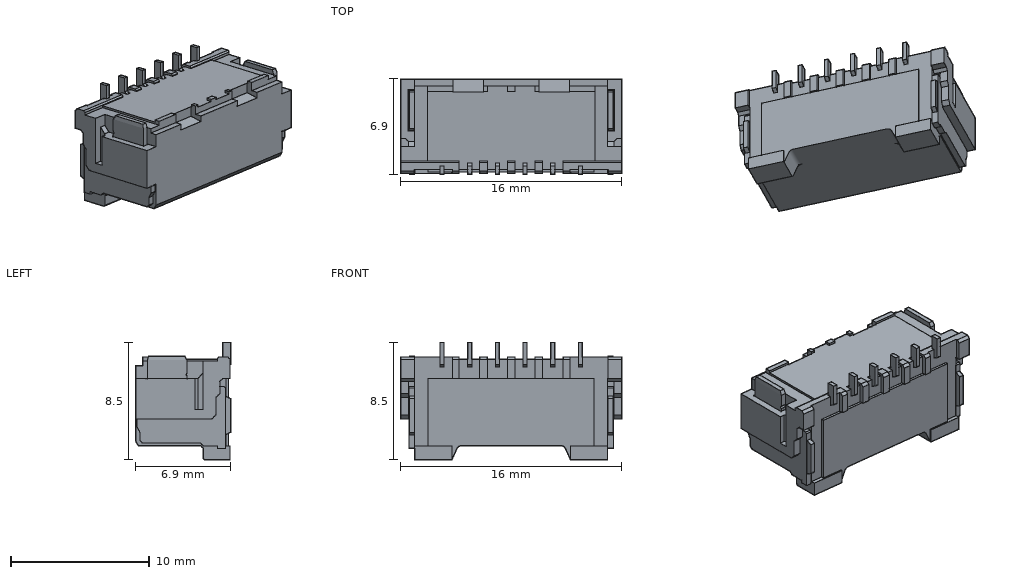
import cadquery as cq
import math


length, depth, height = 16.0, 6.9, 8.5
pitch = 2.0
half_length = length / 2
half_body = 6.98

floor_z = 1.02
flange_bottom, flange_top = 2.96, 5.89
ledge_z = 6.82
wall_top, panel_top, rib_top = 7.15, 7.3, 7.45

rib_front, plate_front, body_front = 0.05, 0.16, 0.35
rib_back = 0.98
foot_back = 2.0
rear_rib_front = 5.98
ledge_front = 6.38

heel_size = 0.2
heel_back = foot_back + heel_size


def box(x0, x1, y0, y1, z0, z1):
    """Block between opposite corners."""
    return cq.Workplane("XY").box(x1 - x0, y1 - y0, z1 - z0, centered=False).translate((x0, y0, z0))


def bar(outline, x0, x1):
    """Prism along X with a (Y, Z) outline."""
    return cq.Workplane("YZ").polyline(outline).close().extrude(x1 - x0).translate((x0, 0, 0))


def both_sides(solid):
    """The solid together with its mirror image across X = 0."""
    return solid.union(solid.mirror("YZ"))


back_chamfer_y, back_chamfer_z = 0.2, 0.34
panel_half = 6.05


def body():
    shell = bar(
        [
            (body_front, floor_z),
            (depth - back_chamfer_y, floor_z),
            (depth, floor_z + back_chamfer_z),
            (depth, ledge_z),
            (ledge_front, ledge_z),
            (ledge_front, wall_top),
            (body_front, wall_top),
        ],
        -half_body,
        half_body,
    )
    panel = box(-panel_half, panel_half, body_front, ledge_front, wall_top, panel_top)
    return shell.union(panel)


plate_half = 6.0


def front_plate():
    return box(-plate_half, plate_half, plate_front, body_front, floor_z, flange_top)


rib_width = 0.56
rib_centers = [-pitch, 0, pitch]
rib_chamfer = 0.2
rib_back_chamfer = 0.11
rib_outline = [
    (rib_front, flange_top),
    (rib_back, flange_top),
    (rib_back, rib_top - rib_back_chamfer),
    (rib_back - rib_back_chamfer, rib_top),
    (rib_front + rib_chamfer, rib_top),
    (rib_front, rib_top - rib_chamfer),
]
corner_inner = 3.76
recess_inner, recess_outer = 4.25, 7.0


def front_ribs():
    ribs = bar(rib_outline, corner_inner, half_length)
    recess = box(recess_inner, recess_outer, 0, body_front, flange_top, height)
    ribs = both_sides(ribs.cut(recess))
    for x in rib_centers:
        ribs = ribs.union(bar(rib_outline, x - rib_width / 2, x + rib_width / 2))
    return ribs


flange_inner = 7.44
hollow_top = 5.68
plate_back, plate_top = 1.44, 5.31
step_front, step_middle, step_back = 0.8, 1.09, 1.38
upper_step_top, upper_step_bottom, lower_step_top = 4.8, 4.51, 3.26
flange_outline = [
    (rib_front, flange_top),
    (step_front - (flange_top - hollow_top), flange_top),
    (step_front, hollow_top),
    (step_front, upper_step_top),
    (step_middle, upper_step_bottom),
    (step_middle, lower_step_top),
    (step_back, flange_bottom),
    (depth, flange_bottom),
    (depth, flange_top),
    (foot_back, flange_top),
    (foot_back, wall_top),
    (rib_front, wall_top),
]
slot_floor = 3.66
slot_back, slot_chamfer = 2.38, 0.2
web_rise = 0.42


def side_flange():
    flange = bar(flange_outline, half_body, half_length)
    flange = flange.cut(box(half_body, recess_outer, 0, body_front, flange_top, height))
    slot = (
        cq.Workplane("XY")
        .polyline(
            [
                (flange_inner, foot_back),
                (half_length, foot_back),
                (half_length, slot_back + slot_chamfer),
                (flange_inner + slot_chamfer, slot_back + slot_chamfer),
                (flange_inner, slot_back),
            ]
        )
        .close()
        .extrude(height)
        .translate((0, 0, slot_floor))
    )
    web = bar(
        [(foot_back, flange_top), (slot_back, flange_top), (foot_back, flange_top + web_rise)],
        half_body,
        flange_inner,
    )
    hollow = box(half_body, flange_inner, 0, plate_back, flange_bottom, hollow_top)
    return flange.union(web).cut(slot).cut(hollow).cut(key_well())


side_plate_outer = 7.4
plate_front_face, plate_corner = 0.4, 0.1
tail_bottom = 0.83
heel_top = floor_z + heel_size
plate_lower_back, plate_upper_back = 6.58, 6.78
back_step_bottom, back_step_top = 2.0, 2.38
side_plate_outline = [
    (plate_front_face, tail_bottom),
    (rib_back, tail_bottom),
    (rib_back, floor_z),
    (foot_back, floor_z),
    (heel_back, heel_top),
    (plate_lower_back - heel_size, heel_top),
    (plate_lower_back, heel_top + heel_size),
    (plate_lower_back, back_step_bottom),
    (plate_upper_back, back_step_top),
    (plate_upper_back, flange_bottom),
    (plate_back, flange_bottom),
    (plate_back, plate_top),
    (plate_front_face + plate_corner, plate_top),
    (plate_front_face, plate_top - plate_corner),
]


def side_plate():
    return bar(side_plate_outline, half_body, side_plate_outer)


pad_inner, pad_outer = 7.0, 7.36
pad_bottom, pad_top = 1.8, 4.62
pad_taper = 0.2
pad_outline = [
    (0, pad_bottom + pad_taper),
    (plate_front_face, pad_bottom),
    (plate_front_face, pad_top),
    (0, pad_top - pad_taper),
]


def front_pad():
    return bar(pad_outline, pad_inner, pad_outer)


key_inner, key_outer = 7.0, 7.4
key_front, key_back = 3.17, 6.05
key_shoulder, key_top = 7.2, 7.5
key_front_taper, key_back_taper, key_side_taper = 0.16, 0.1, 0.05
key_groove_radius, key_groove_depth, key_groove_z = 0.11, 0.06, 6.18
well_depth = 0.16
well_front, well_back, well_outer = 3.14, 6.13, 7.47
well_floor = flange_top - well_depth


def key_well():
    return box(half_body, well_outer, well_front, well_back, well_floor, flange_top)


def side_key():
    key = bar(
        [
            (key_front, well_floor),
            (key_back, well_floor),
            (key_back, key_shoulder),
            (key_back - key_back_taper, key_top),
            (key_front + key_front_taper, key_top),
            (key_front, key_shoulder),
        ],
        key_inner,
        key_outer,
    )
    bevel = (
        cq.Workplane("XZ")
        .polyline([(key_outer, key_shoulder), (key_outer, key_top), (key_outer - key_side_taper, key_top)])
        .close()
        .extrude(-depth)
    )
    groove_y = key_front + key_groove_depth - key_groove_radius
    groove = (
        cq.Workplane("YZ")
        .center(groove_y, key_groove_z)
        .circle(key_groove_radius)
        .extrude(half_length)
    )
    return key.cut(bevel).cut(groove)


foot_inner = 4.29
brace_toe = 3.82
brace_fillet = 0.38
foot_chamfer = 0.1


def foot_brace():
    run, rise = foot_inner - brace_toe, floor_z
    slant = math.hypot(run, rise)
    tangent = brace_fillet * math.tan(math.atan2(rise, run) / 2)
    arc_start = (brace_toe + tangent * run / slant, floor_z - tangent * rise / slant)
    arc_end = (brace_toe - tangent, floor_z)
    return (
        cq.Workplane("XZ")
        .moveTo(foot_inner, 0)
        .lineTo(*arc_start)
        .tangentArcPoint(arc_end, relative=False)
        .lineTo(foot_inner, floor_z)
        .close()
        .extrude(plate_front - foot_back)
        .translate((0, plate_front, 0))
    )


def foot():
    pad = box(foot_inner, half_body, rib_front, foot_back, 0, floor_z)
    heel = bar(
        [(foot_back, floor_z), (heel_back, floor_z), (foot_back, floor_z - heel_size)],
        foot_inner,
        half_body,
    )
    edge = bar(
        [(foot_back - foot_chamfer, 0), (foot_back, 0), (foot_back, foot_chamfer)],
        brace_toe,
        half_body,
    )
    return pad.union(foot_brace()).union(heel).cut(edge)


pocket_inner, pocket_outer = 2.02, 4.2
pocket_front = 5.95
pocket_floor, pocket_drop = 6.56, 0.18


def rear_ribs():
    ribs = both_sides(box(pocket_outer, panel_half, rear_rib_front, ledge_front, wall_top, rib_top))
    for x in rib_centers:
        left, right = x - rib_width / 2, x + rib_width / 2
        ribs = ribs.union(box(left, right, rear_rib_front, ledge_front, wall_top, rib_top))
    return ribs


def latch_pocket():
    return bar(
        [
            (pocket_front, height),
            (pocket_front, pocket_floor),
            (depth, pocket_floor - pocket_drop),
            (depth, height),
        ],
        pocket_inner,
        pocket_outer,
    )


pin_count = 6
pin_width = 0.3
pin_back, pin_root = 0.6, 0.83
pin_bottom, pin_tip, pin_shoulder = 6.74, 6.91, 7.42
pin_outline = [
    (0, pin_tip),
    (body_front, pin_bottom),
    (pin_root, pin_bottom),
    (pin_root, panel_top),
    (pin_back, pin_shoulder),
    (pin_back, height),
    (0, height),
]


def pins():
    row = cq.Workplane("XY")
    for index in range(pin_count):
        x = (index - (pin_count - 1) / 2) * pitch
        row = row.union(bar(pin_outline, x - pin_width / 2, x + pin_width / 2))
    return row


result = (
    body()
    .union(front_plate())
    .union(front_ribs())
    .union(both_sides(side_flange()))
    .union(both_sides(side_plate()))
    .union(both_sides(front_pad()))
    .union(both_sides(side_key()))
    .union(both_sides(foot()))
    .union(rear_ribs())
    .cut(both_sides(latch_pocket()))
    .union(pins())
)